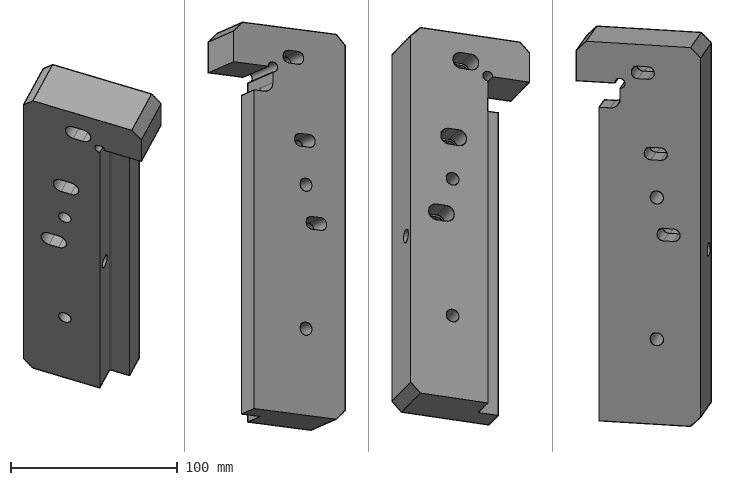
import cadquery as cq
import math

height = 237.5
head_width = 76.2
thickness = 31.8
body_width = 49.5
hook_drop = 25.2
corner_chamfer = 6.2
relief_radius = 3.0

flange_right = 62.2
flange_top = 196.6
flange_thickness = thickness / 2
ledge_fillet = 6.0
root_fillet = 0.7

slot_count = 3
top_slot_x = 35.5
top_slot_z = 220.0
slot_step_x = -7.8
slot_step_z = -50.3
slot_length = 16.5
slot_height = 10.2
slot_ledge = 1.2
wide_slot_depth = thickness / 2

hole_diameter = 8.0
hole_x = 26.8
hole_heights = (53.5, 142.3)
side_hole_y = 8.0
side_hole_z = 104.3

hook_z = height - hook_drop


def front_plane(y=0.0):
    """Plane parallel to the front face, with its normal pointing out of the part."""
    return cq.Plane(origin=(0, y, 0), xDir=(1, 0, 0), normal=(0, -1, 0))


def make_block():
    """Hooked block with three chamfered outer corners."""
    outline = [
        (corner_chamfer, 0),
        (body_width, 0),
        (body_width, hook_z),
        (head_width, hook_z),
        (head_width, height - corner_chamfer),
        (head_width - corner_chamfer, height),
        (corner_chamfer, height),
        (0, height - corner_chamfer),
        (0, corner_chamfer),
    ]
    return cq.Workplane(front_plane()).polyline(outline).close().extrude(-thickness)


def make_flange():
    """Rear flange whose top ledge curves up into the body wall."""
    front_y = thickness - flange_thickness
    arc_middle = ledge_fillet * (1 - math.sqrt(0.5))
    return (
        cq.Workplane(front_plane(front_y))
        .moveTo(body_width, 0)
        .lineTo(flange_right, 0)
        .lineTo(flange_right, flange_top)
        .lineTo(body_width + ledge_fillet, flange_top)
        .threePointArc(
            (body_width + arc_middle, flange_top + arc_middle),
            (body_width, flange_top + ledge_fillet),
        )
        .close()
        .extrude(-flange_thickness)
    )


def make_root_fillet():
    """Small concave fillet where the flange front meets the body wall."""
    front_y = thickness - flange_thickness
    arc_middle = root_fillet * (1 - math.sqrt(0.5))
    return (
        cq.Workplane("XY")
        .moveTo(body_width, front_y)
        .lineTo(body_width + root_fillet, front_y)
        .threePointArc(
            (body_width + arc_middle, front_y - arc_middle),
            (body_width, front_y - root_fillet),
        )
        .close()
        .extrude(flange_top)
    )


def make_slots():
    """Slots that are wide at the front and narrower through to the back."""
    centers = [
        (top_slot_x + i * slot_step_x, top_slot_z + i * slot_step_z)
        for i in range(slot_count)
    ]
    base = cq.Workplane(front_plane()).pushPoints(centers)
    wide = base.slot2D(slot_length, slot_height).extrude(-wide_slot_depth)
    narrow_length = slot_length - 2 * slot_ledge
    narrow_height = slot_height - 2 * slot_ledge
    narrow = base.slot2D(narrow_length, narrow_height).extrude(-thickness)
    return wide.union(narrow)


def make_front_holes():
    """Two round holes through the thickness."""
    centers = [(hole_x, z) for z in hole_heights]
    holes = cq.Workplane(front_plane()).pushPoints(centers)
    return holes.circle(hole_diameter / 2).extrude(-thickness)


def make_side_hole():
    """Round hole across the body, in front of the flange."""
    side = cq.Workplane("YZ").center(side_hole_y, side_hole_z)
    return side.circle(hole_diameter / 2).extrude(body_width)


def make_corner_relief():
    """Round relief in the inner corner under the hook."""
    corner = cq.Workplane(front_plane()).center(body_width, hook_z)
    return corner.circle(relief_radius).extrude(-thickness)


result = (
    make_block()
    .union(make_flange())
    .union(make_root_fillet())
    .cut(make_slots())
    .cut(make_front_holes())
    .cut(make_side_hole())
    .cut(make_corner_relief())
)